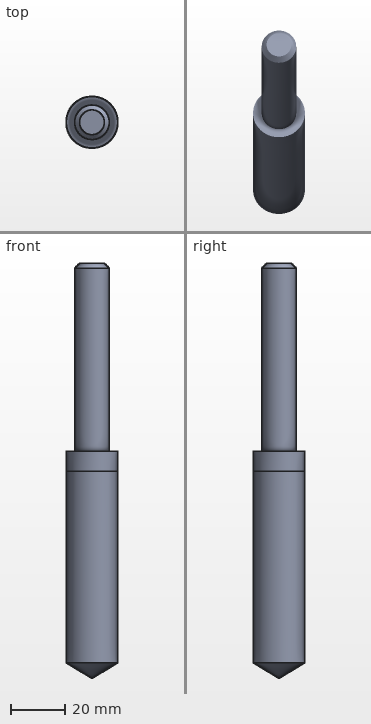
import cadquery as cq
import math

overall_length = 152.4
body_diameter = 19.05
shank_diameter = 12.7
point_angle = 118.0
collar_length = 7.3
shank_length = 69.0
shank_chamfer = 1.8

body_radius = body_diameter / 2
shank_radius = shank_diameter / 2
point_height = body_radius / math.tan(math.radians(point_angle / 2))

collar_top = overall_length - shank_length
collar_bottom = collar_top - collar_length


def make_cutter():
    """Cylindrical cutter ending in a conical point at the bottom."""
    return (
        cq.Workplane("XZ")
        .moveTo(0, 0)
        .lineTo(body_radius, point_height)
        .lineTo(body_radius, collar_bottom)
        .lineTo(0, collar_bottom)
        .close()
        .revolve(360, (0, 0, 0), (0, 1, 0))
    )


def make_shank():
    """Straight shank with a collar at its foot and a chamfered top end."""
    return (
        cq.Workplane("XZ")
        .moveTo(0, collar_bottom)
        .lineTo(body_radius, collar_bottom)
        .lineTo(body_radius, collar_top)
        .lineTo(shank_radius, collar_top)
        .lineTo(shank_radius, overall_length - shank_chamfer)
        .lineTo(shank_radius - shank_chamfer, overall_length)
        .lineTo(0, overall_length)
        .close()
        .revolve(360, (0, 0, 0), (0, 1, 0))
    )


cutter = make_cutter()
shank = make_shank()

result = cq.Compound.makeCompound([cutter.val(), shank.val()])